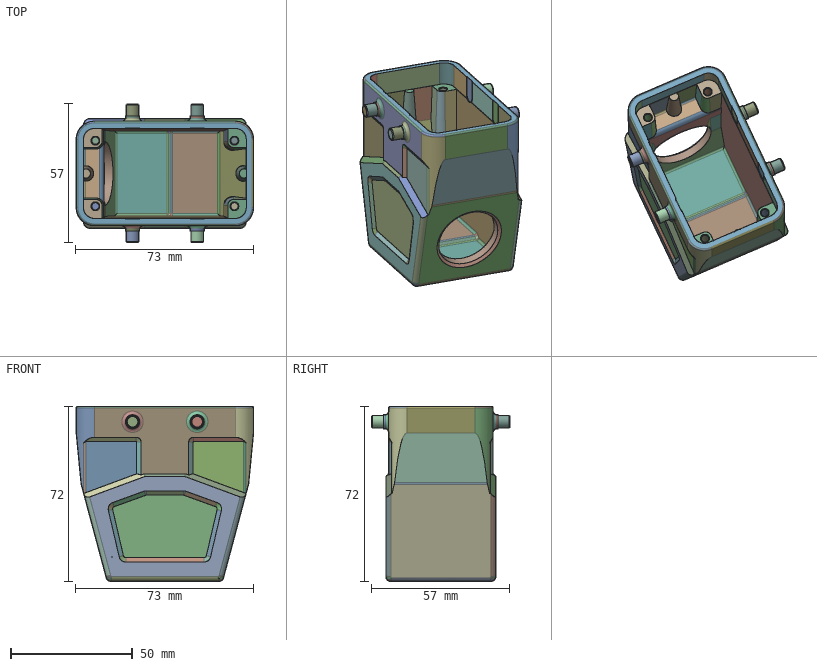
import cadquery as cq
import math

HEIGHT = 72.0
HALF_LENGTH = 36.5
HALF_WIDTH = 21.5
CORNER_R = 7.5
RIM_ROUND = 0.7
PIN_REACH = 28.5

TAPER_TOP_Z = 61.0
KNEE_Z = 40.2
KNEE_X = 34.5
END_SLOPE = math.tan(math.radians(15))
BASE_X = KNEE_X - KNEE_Z * END_SLOPE
KNEE_ROUND = 5.0

LOWER_HALF_WIDTH = 22.6
SHOULDER_Z = 36.2
SHOULDER_X = BASE_X + SHOULDER_Z * END_SLOPE
LEDGE_Z = 45.4
LEDGE_HALF_FLAT = 8.6
LOWER_ROUND = 2.0
UPPER_BODY_BOTTOM_Z = 34.0

RECESS_DEPTH = 1.1
RECESS_WALL_RUN = 1.8
RECESS_TAPER = math.degrees(math.atan(RECESS_WALL_RUN / RECESS_DEPTH))
LEDGE_CHAMFER = LOWER_HALF_WIDTH - HALF_WIDTH + RECESS_DEPTH
POCKET_INNER_X = 9.8
POCKET_TOP_Z = 59.3
POCKET_CORNER_R = 2.0
POCKET_EDGE_ROUND = 1.8
PANEL_BOTTOM_Z = 8.0
PANEL_TOP_Z = 37.3
PANEL_HALF_FLAT = 8.1
PANEL_BOTTOM_X = 18.3
PANEL_SHOULDER_X = 23.8
PANEL_SHOULDER_Z = 31.6
PANEL_CORNER_R = 2.8

PIN_X = 13.3
PIN_Z = 65.7
PIN_R = 2.6
PIN_TIP_CHAMFER = 0.4
PIN_COLLAR_R = 2.9
PIN_COLLAR_Y = 23.6
PIN_FLARE_R = 4.6
PIN_FLARE_Y = 22.8
PIN_FLARE_SAG = 0.4
PIN_ROOT_Y = 20.5

WALL = 3.0
RIM_X = HALF_LENGTH - WALL
RIM_Y = HALF_WIDTH - WALL
RIM_CORNER_R = CORNER_R - WALL
STEP_Z = 62.5
STEP_INSET = 0.1
FLOOR_Z = 5.0
RAISED_FLOOR_Z = 6.6
FLOOR_STEP_X = (1.2, 2.8)
FLOOR_Y = 17.4
FLOOR_ROUND = 1.0
CAVITY_LEFT_X = -20.4
CAVITY_RIGHT_X = 22.4
SHELF_X = -25.0
SHELF_Z = 45.0
SHELF_ROUND = 2.0
SHELF_FOOT_ROUND = 0.8

PILLAR_X = 25.9
PILLAR_Y = 10.7
PILLAR_CORNER_R = 2.4
PILLAR_DRAFT = 2.0
SCREW_X = 28.6
SCREW_Y = 13.5
SCREW_D = 3.0
SCREW_DEPTH = 12.0
SCREW_CHAMFER = 0.3

POST_X = 32.5
POST_TOP_R = 1.9
POST_BOTTOM_R = 3.3
POST_BOTTOM_Z = 43.0

GROOVE_R = 2.85
GROOVE_DEPTH = 0.25
GROOVE_BOTTOM_Z = 61.8

ENTRY_D = 26.3
ENTRY_MOUTH_D = 28.7
ENTRY_Z = 20.1
ENTRY_MOUTH_DEPTH = 1.0
ENTRY_DEPTH = 9.0


def xz_prism(points, half_width):
    """Prism of an XZ outline, symmetric about Y = 0."""
    return cq.Workplane("XZ").polyline(points).close().extrude(half_width, both=True)


def mirrored_points(right_side):
    """Close an outline from its right half, listed bottom to top."""
    return right_side + [(-x, z) for x, z in reversed(right_side)]


def both_sides(shape):
    """Add the mirror image across the XZ plane."""
    return shape.union(shape.mirror("XZ"))


def upper_body():
    block = (
        cq.Workplane("XY", origin=(0, 0, UPPER_BODY_BOTTOM_Z))
        .rect(2 * HALF_LENGTH, 2 * HALF_WIDTH)
        .extrude(HEIGHT - UPPER_BODY_BOTTOM_Z)
        .edges("|Z").fillet(CORNER_R)
        .faces(">Z").edges().fillet(RIM_ROUND)
    )
    ends = xz_prism(mirrored_points([
        (BASE_X, 0),
        (KNEE_X, KNEE_Z),
        (HALF_LENGTH, TAPER_TOP_Z),
        (HALF_LENGTH, HEIGHT),
    ]), LOWER_HALF_WIDTH)
    for side in (-1, 1):
        knee = cq.selectors.NearestToPointSelector((side * KNEE_X, 0, KNEE_Z))
        ends = ends.edges(knee).fillet(KNEE_ROUND)
    return block.intersect(ends)


def upper_pockets():
    """Recesses of the upper side faces, open to the body corners."""
    pocket_length = HALF_LENGTH + 2 * RECESS_WALL_RUN - POCKET_INNER_X
    pocket_height = POCKET_TOP_Z - UPPER_BODY_BOTTOM_Z + 2 * RECESS_WALL_RUN
    pockets = cq.Workplane("XY")
    for side in (-1, 1):
        outline = (
            cq.Sketch()
            .rect(pocket_length, pocket_height)
            .vertices().fillet(POCKET_CORNER_R)
        )
        pocket = (
            cq.Workplane("XZ", origin=(
                side * (POCKET_INNER_X + pocket_length / 2),
                -HALF_WIDTH,
                POCKET_TOP_Z - pocket_height / 2,
            ))
            .placeSketch(outline)
            .extrude(-RECESS_DEPTH, taper=RECESS_TAPER)
        )
        pockets = pockets.union(pocket)
    return both_sides(pockets)


def pocketed_upper_body():
    body = upper_body().cut(upper_pockets())
    floor_y = HALF_WIDTH - RECESS_DEPTH
    corner_y = floor_y - (HALF_WIDTH - CORNER_R)
    edge_x = HALF_LENGTH - CORNER_R + math.sqrt(CORNER_R ** 2 - corner_y ** 2)
    edge_z = (KNEE_Z + POCKET_TOP_Z) / 2
    for side_x in (-1, 1):
        for side_y in (-1, 1):
            edge = cq.selectors.NearestToPointSelector((side_x * edge_x, side_y * floor_y, edge_z))
            body = body.edges(edge).fillet(POCKET_EDGE_ROUND)
    return body


def lower_body():
    body = xz_prism(mirrored_points([
        (BASE_X, 0),
        (SHOULDER_X, SHOULDER_Z),
        (LEDGE_HALF_FLAT, LEDGE_Z),
    ]), LOWER_HALF_WIDTH)
    body = body.faces("<Z").edges().fillet(LOWER_ROUND)
    middle_z = SHOULDER_Z / 2
    middle_x = BASE_X + middle_z * END_SLOPE
    for side_x in (-1, 1):
        for side_y in (-1, 1):
            corner = (side_x * middle_x, side_y * LOWER_HALF_WIDTH, middle_z)
            body = body.edges(cq.selectors.NearestToPointSelector(corner)).fillet(LOWER_ROUND)
    return body.cut(both_sides(ledge_chamfer()))


def ledge_chamfer():
    """Wedges that bevel the ledge along the -Y side: one level, two sloping."""
    wedge_outline = [
        (-LOWER_HALF_WIDTH, -LEDGE_CHAMFER),
        (-LOWER_HALF_WIDTH + LEDGE_CHAMFER, 0),
        (-LOWER_HALF_WIDTH, LEDGE_CHAMFER),
    ]
    wedge = (
        cq.Workplane("YZ").polyline(wedge_outline).close()
        .extrude(HALF_LENGTH, both=True)
    )
    tilt = math.degrees(math.atan2(LEDGE_Z - SHOULDER_Z, SHOULDER_X - LEDGE_HALF_FLAT))
    bevels = wedge.translate((0, 0, LEDGE_Z))
    for side in (-1, 1):
        tilted = wedge.rotate((0, 0, 0), (0, 1, 0), side * tilt)
        bevels = bevels.union(tilted.translate((side * LEDGE_HALF_FLAT, 0, LEDGE_Z)))
    return bevels


def side_panels():
    """Recessed panels of the lower side faces."""
    outline = (
        cq.Sketch()
        .polygon([*mirrored_points([
            (PANEL_BOTTOM_X, PANEL_BOTTOM_Z),
            (PANEL_SHOULDER_X, PANEL_SHOULDER_Z),
            (PANEL_HALF_FLAT, PANEL_TOP_Z),
        ]), (PANEL_BOTTOM_X, PANEL_BOTTOM_Z)])
        .vertices().fillet(PANEL_CORNER_R)
    )
    panel = (
        cq.Workplane("XZ", origin=(0, -LOWER_HALF_WIDTH, 0))
        .placeSketch(outline)
        .extrude(-RECESS_DEPTH, taper=RECESS_TAPER)
    )
    return both_sides(panel)


def pins():
    all_pins = cq.Workplane("XY")
    for side in (-1, 1):
        pin = (
            cq.Workplane("XY")
            .moveTo(0, PIN_ROOT_Y)
            .lineTo(PIN_FLARE_R, PIN_ROOT_Y)
            .lineTo(PIN_FLARE_R, HALF_WIDTH)
            .sagittaArc((PIN_COLLAR_R, PIN_FLARE_Y), PIN_FLARE_SAG)
            .lineTo(PIN_COLLAR_R, PIN_COLLAR_Y)
            .lineTo(PIN_R, PIN_COLLAR_Y)
            .lineTo(PIN_R, PIN_REACH - PIN_TIP_CHAMFER)
            .lineTo(PIN_R - PIN_TIP_CHAMFER, PIN_REACH)
            .lineTo(0, PIN_REACH)
            .close()
            .revolve(360, (0, 0, 0), (0, 1, 0))
        )
        all_pins = all_pins.union(pin.translate((side * PIN_X, 0, PIN_Z)))
    return both_sides(all_pins)


def pillars():
    """Drafted corner pillars that carry the fixing screws."""
    outer_x = HALF_LENGTH + PILLAR_CORNER_R
    outer_y = LOWER_HALF_WIDTH + PILLAR_CORNER_R
    all_pillars = cq.Workplane("XY")
    for side in (-1, 1):
        pillar = (
            cq.Workplane("XY", origin=(
                side * (PILLAR_X + outer_x) / 2,
                (PILLAR_Y + outer_y) / 2,
                STEP_Z,
            ))
            .sketch()
            .rect(outer_x - PILLAR_X, outer_y - PILLAR_Y)
            .vertices().fillet(PILLAR_CORNER_R)
            .finalize()
            .extrude(-STEP_Z, taper=-PILLAR_DRAFT)
        )
        all_pillars = all_pillars.union(pillar)
    return both_sides(all_pillars)


def guide_posts():
    posts = cq.Workplane("XY")
    for side in (-1, 1):
        post = cq.Solid.makeCone(
            POST_BOTTOM_R, POST_TOP_R, STEP_Z - POST_BOTTOM_Z,
            cq.Vector(side * POST_X, 0, POST_BOTTOM_Z), cq.Vector(0, 0, 1),
        )
        posts = posts.union(cq.Workplane(post))
    return posts


def cavity_profile():
    """Outline of the lower cavity: floors, sloping ends and the entry shelf."""
    wall_x = RIM_X - STEP_INSET
    right_slope_top_z = RAISED_FLOOR_Z + (wall_x - CAVITY_RIGHT_X) / END_SLOPE
    left_slope_top_z = FLOOR_Z + (CAVITY_LEFT_X - SHELF_X) / END_SLOPE
    profile = xz_prism([
        (CAVITY_LEFT_X, FLOOR_Z),
        (FLOOR_STEP_X[0], FLOOR_Z),
        (FLOOR_STEP_X[1], RAISED_FLOOR_Z),
        (CAVITY_RIGHT_X, RAISED_FLOOR_Z),
        (wall_x, right_slope_top_z),
        (wall_x, STEP_Z),
        (-wall_x, STEP_Z),
        (-wall_x, SHELF_Z),
        (SHELF_X, SHELF_Z),
        (SHELF_X, left_slope_top_z),
    ], HALF_WIDTH)
    shelf_edge = cq.selectors.NearestToPointSelector((SHELF_X, 0, SHELF_Z))
    profile = profile.edges(shelf_edge).fillet(SHELF_ROUND)
    shelf_foot = cq.selectors.NearestToPointSelector((-wall_x, 0, SHELF_Z))
    return profile.edges(shelf_foot).fillet(SHELF_FOOT_ROUND)


def lower_cavity():
    wall_y = RIM_Y - STEP_INSET
    drafted_sides = (
        cq.Workplane("YZ")
        .polyline([(FLOOR_Y, FLOOR_Z), (wall_y, STEP_Z), (-wall_y, STEP_Z), (-FLOOR_Y, FLOOR_Z)])
        .close()
        .extrude(HALF_LENGTH, both=True)
    )
    lower = cavity_profile().intersect(drafted_sides)
    floor_edges = cq.selectors.BoxSelector(
        (-HALF_LENGTH, -HALF_WIDTH, 0), (HALF_LENGTH, HALF_WIDTH, RAISED_FLOOR_Z + FLOOR_ROUND)
    )
    lower = lower.edges(floor_edges).fillet(FLOOR_ROUND)
    return lower.cut(pillars()).cut(guide_posts())


def upper_cavity():
    return (
        cq.Workplane("XY", origin=(0, 0, STEP_Z))
        .rect(2 * RIM_X, 2 * RIM_Y)
        .extrude(HEIGHT - STEP_Z)
        .edges("|Z").fillet(RIM_CORNER_R)
    )


def wall_grooves():
    """Shallow round-bottomed grooves from the rim down behind each pin."""
    centre_z = GROOVE_BOTTOM_Z + GROOVE_R
    grooves = cq.Workplane("XY")
    for side in (-1, 1):
        groove = (
            cq.Workplane("XZ", origin=(side * PIN_X, 0, 0))
            .moveTo(-GROOVE_R, HEIGHT)
            .lineTo(-GROOVE_R, centre_z)
            .threePointArc((0, GROOVE_BOTTOM_Z), (GROOVE_R, centre_z))
            .lineTo(GROOVE_R, HEIGHT)
            .close()
            .extrude(RIM_Y + GROOVE_DEPTH, both=True)
        )
        grooves = grooves.union(groove)
    return grooves


def screw_holes():
    radius = SCREW_D / 2
    mouth = radius + SCREW_CHAMFER
    hole = (
        cq.Workplane("XZ")
        .polyline([
            (0, 0), (mouth, 0), (radius, -SCREW_CHAMFER),
            (radius, -SCREW_DEPTH), (0, -SCREW_DEPTH),
        ])
        .close()
        .revolve(360, (0, 0, 0), (0, 1, 0))
    )
    holes = cq.Workplane("XY")
    for x in (-SCREW_X, SCREW_X):
        for y in (-SCREW_Y, SCREW_Y):
            holes = holes.union(hole.translate((x, y, STEP_Z)))
    return holes


def cable_entry():
    """Countersunk hole square to the sloping -X end."""
    mouth_centre = cq.Vector(-BASE_X - ENTRY_Z * END_SLOPE, 0, ENTRY_Z)
    inward = cq.Vector(1, 0, END_SLOPE).normalized()
    bore = cq.Solid.makeCylinder(ENTRY_D / 2, ENTRY_DEPTH, mouth_centre, inward)
    mouth = cq.Solid.makeCone(
        ENTRY_MOUTH_D / 2, ENTRY_D / 2, ENTRY_MOUTH_DEPTH, mouth_centre, inward
    )
    return cq.Workplane(bore).union(cq.Workplane(mouth))


shell = pocketed_upper_body().union(lower_body()).cut(side_panels()).union(pins())
cavity = lower_cavity().union(upper_cavity())
result = shell.cut(cavity).cut(wall_grooves()).cut(screw_holes()).cut(cable_entry())